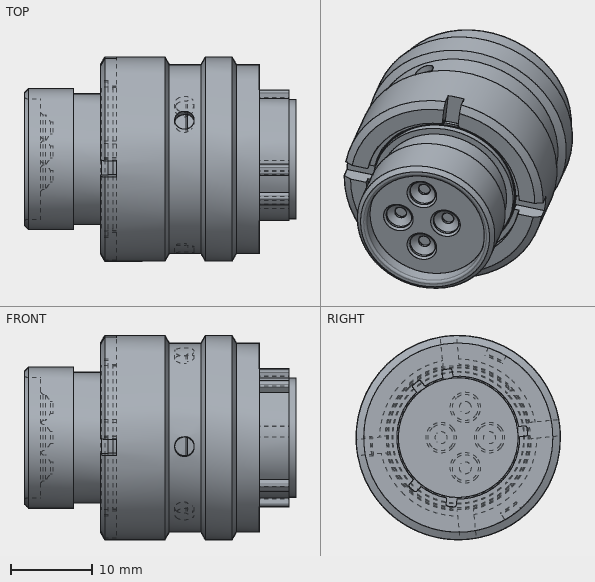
import cadquery as cq

TOTAL_LENGTH = 33.37

SOCKET_RADIUS = 8.68
SOCKET_FACE_RADIUS = 8.15
SOCKET_CHAMFER = 0.55
SOCKET_END = 6.05
SOCKET_BORE_RADIUS = 7.4
SOCKET_BORE_DEPTH = 2.0
BORE_ROUNDING = 0.35
NECK_RADIUS = 8.05

COLLAR_START = 9.48
COLLAR_RADIUS = 8.85
COLLAR_GROOVE_START = 10.28
COLLAR_GROOVE_END = 10.9
COLLAR_GROOVE_RADIUS = 8.58

RING_START = 9.35
RING_END = 28.85
RING_RADIUS = 12.55
GROOVE_RADIUS = 11.6
CHAMFER_LENGTH = 0.55
GRIP_END = 17.8
BAND_START = 21.7
BAND_END = 26.03
MOUTH_RADIUS = 9.65
MOUTH_DEPTH = 0.9
RING_BORE_RADIUS = 8.98
RING_BORE_END = 11.35

NOTCH_COUNT = 4
NOTCH_WIDTH = 2.0
RING_TURN = 5.6

SIGHT_COUNT = 3
SIGHT_X = 19.65
SIGHT_RADIUS = 1.2
SIGHT_FLOOR_RADIUS = 10.6
SIGHT_STEP_HEIGHT = 0.2
SIGHT_STEP_START = 19.85

SPIGOT_RADIUS = 7.55
TAIL_RADIUS = 7.35
TAIL_START = 32.5
KEY_TOP_RADIUS = 8.5
KEY_WIDTH = 1.27
KEY_ROUNDING = 0.27
KEY_ANGLES = (RING_TURN, 99.6, 127.8, 228.0, 264.0)

CONTACT_CENTER_Y = 0.87
CONTACT_PITCH_Y = 2.97
CONTACT_PITCH_Z = 3.7
CONTACT_MOUTH_RADIUS = 1.87
CONTACT_WELL_RADIUS = 1.6
CONTACT_HOLE_RADIUS = 0.75
CONTACT_LIP_DEPTH = 0.27
CONTACT_WELL_DEPTH = 0.35
CONTACT_CONE_DEPTH = 0.6
CONTACT_HOLE_DEPTH = 0.35


def turned(points):
    """Revolve an (x, radius) outline about the X axis."""
    return cq.Workplane("XY").polyline(points).close().revolve(360, (0, 0, 0), (1, 0, 0))


def tube_cutter(start, end, radius):
    return cq.Workplane("YZ").workplane(offset=start).circle(radius).extrude(end - start)


def around_axis(solid, angle):
    """Turn a solid that lies on the +Y side to the given angle about X."""
    return solid.rotate((0, 0, 0), (1, 0, 0), angle)


def inner_body():
    body = turned([
        (0, 0),
        (0, SOCKET_FACE_RADIUS),
        (SOCKET_CHAMFER, SOCKET_RADIUS),
        (SOCKET_END, SOCKET_RADIUS),
        (SOCKET_END, NECK_RADIUS),
        (COLLAR_START, NECK_RADIUS),
        (COLLAR_START, COLLAR_RADIUS),
        (COLLAR_GROOVE_START, COLLAR_RADIUS),
        (COLLAR_GROOVE_START, COLLAR_GROOVE_RADIUS),
        (COLLAR_GROOVE_END, COLLAR_GROOVE_RADIUS),
        (COLLAR_GROOVE_END, COLLAR_RADIUS),
        (RING_END, COLLAR_RADIUS),
        (RING_END, SPIGOT_RADIUS),
        (TAIL_START, SPIGOT_RADIUS),
        (TAIL_START, TAIL_RADIUS),
        (TOTAL_LENGTH, TAIL_RADIUS),
        (TOTAL_LENGTH, 0),
    ])
    body = body.cut(tube_cutter(0, SOCKET_BORE_DEPTH, SOCKET_BORE_RADIUS))
    bore_edge = cq.selectors.RadiusNthSelector(0)
    return body.faces("<X").edges(bore_edge).fillet(BORE_ROUNDING)


def contact_cavity():
    """Lip, well, funnel and contact hole, opening on the insert face and centred on the X axis."""
    well_end = CONTACT_LIP_DEPTH + CONTACT_WELL_DEPTH
    cone_end = well_end + CONTACT_CONE_DEPTH
    cavity = turned([
        (0, 0),
        (0, CONTACT_MOUTH_RADIUS),
        (CONTACT_LIP_DEPTH, CONTACT_WELL_RADIUS),
        (well_end, CONTACT_WELL_RADIUS),
        (cone_end, CONTACT_HOLE_RADIUS),
        (cone_end + CONTACT_HOLE_DEPTH, CONTACT_HOLE_RADIUS),
        (cone_end + CONTACT_HOLE_DEPTH, 0),
    ])
    return cavity.translate((SOCKET_BORE_DEPTH, 0, 0))


def coupling_ring():
    ring = turned([
        (RING_START, 0),
        (RING_START, GROOVE_RADIUS),
        (RING_START + CHAMFER_LENGTH, RING_RADIUS),
        (GRIP_END - CHAMFER_LENGTH, RING_RADIUS),
        (GRIP_END, GROOVE_RADIUS),
        (BAND_START, GROOVE_RADIUS),
        (BAND_START + CHAMFER_LENGTH, RING_RADIUS),
        (BAND_END - CHAMFER_LENGTH, RING_RADIUS),
        (BAND_END, GROOVE_RADIUS),
        (RING_END, GROOVE_RADIUS),
        (RING_END, 0),
    ])
    ring = ring.cut(tube_cutter(RING_START, RING_BORE_END, RING_BORE_RADIUS))
    ring = ring.cut(tube_cutter(RING_START, RING_START + MOUTH_DEPTH, MOUTH_RADIUS))

    notch = cq.Workplane("XY").box(
        RING_BORE_END - RING_START, RING_RADIUS, NOTCH_WIDTH, centered=(False, False, True)
    ).translate((RING_START, 0, 0))
    for index in range(NOTCH_COUNT):
        ring = ring.cut(around_axis(notch, RING_TURN + index * 360 / NOTCH_COUNT))

    sight_hole = sight_hole_cutter()
    for index in range(SIGHT_COUNT):
        ring = ring.cut(around_axis(sight_hole, 180 + RING_TURN + index * 360 / SIGHT_COUNT))
    return ring


def sight_hole_cutter():
    """Radial hole whose floor is a turned surface with a sloped step."""
    hole = (
        cq.Workplane("XZ")
        .center(SIGHT_X, 0)
        .circle(SIGHT_RADIUS)
        .extrude(-RING_RADIUS)
    )
    step_radius = SIGHT_FLOOR_RADIUS + SIGHT_STEP_HEIGHT
    floor = turned([
        (GRIP_END, 0),
        (GRIP_END, SIGHT_FLOOR_RADIUS),
        (SIGHT_STEP_START, SIGHT_FLOOR_RADIUS),
        (SIGHT_STEP_START + SIGHT_STEP_HEIGHT, step_radius),
        (BAND_START, step_radius),
        (BAND_START, 0),
    ])
    return hole.cut(floor)


def spigot_key():
    """Key on the +Y side with rounded outer corners, rooted in the spigot."""
    root_radius = SPIGOT_RADIUS - KEY_WIDTH / 2
    return (
        cq.Workplane("XY")
        .box(TAIL_START - RING_END, KEY_TOP_RADIUS - root_radius, KEY_WIDTH, centered=(False, False, True))
        .translate((RING_END, root_radius, 0))
        .edges("|X and >Y")
        .fillet(KEY_ROUNDING)
    )


body = inner_body()
cavity = contact_cavity()
for offset_y, offset_z in (
    (CONTACT_PITCH_Y, 0),
    (-CONTACT_PITCH_Y, 0),
    (0, CONTACT_PITCH_Z),
    (0, -CONTACT_PITCH_Z),
):
    body = body.cut(cavity.translate((0, CONTACT_CENTER_Y + offset_y, offset_z)))

key = spigot_key()
for key_angle in KEY_ANGLES:
    body = body.union(around_axis(key, key_angle))

result = body.union(coupling_ring())